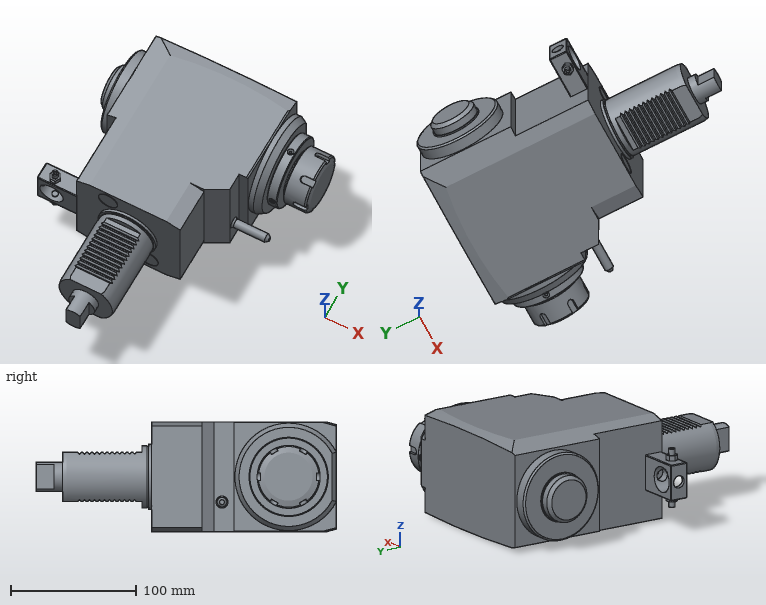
import cadquery as cq
import math


HOUSING_HEIGHT = 88.0
HALF_HEIGHT = HOUSING_HEIGHT / 2
BACK_Y = 147.5
HEAD_LEFT_X = -54.7
HEAD_RIGHT_X = 73.2
HEAD_FRONT_Y = 65.8
LEG_LEFT_X = -46.8
LEG_RIGHT_X = 47.3
SHOULDER_X = 65.3
SHOULDER_Y = 50.0
LEG_TOP_Y = 40.0

FACET_X = 34.8
FACET_RUN = 20.0
FACET_DROP = 5.5
FACET_SLOPE = FACET_DROP / FACET_RUN
HEAD_EDGE_RUN = 1.5
HEAD_EDGE_DROP = 0.6

CROWN_RADIUS = 1176.0
CROWN_SLOPE = 0.27
CROWN_START_Y = 139.5
CROWN_CENTER_X = 18.7
CROWN_LENGTH = 144.0

PLUG_RADIUS = 8.6
PLUG_DEPTH = 0.5
PLUG_X = 18.5
PLUG_Z = 32.0

SPINDLE_Y = 109.5
COVER_RADIUS = 36.5
COVER_END_X = -65.0
COVER_CHAMFER = 1.5
CAP_RADIUS = 19.5
CAP_COLLAR_RADIUS = 20.5
CAP_COLLAR_WIDTH = 1.2
CAP_END_X = -75.0
CAP_CHAMFER = 3.0
FLANGE_RADIUS = 43.0
FLANGE_END_X = 83.8
FLANGE_CHAMFER_WIDTH = 6.0
FLANGE_CHAMFER_DROP = 3.4
DISK_RADIUS = 31.7
DISK_END_X = 93.0
DISK_CHAMFER = 0.7
NECK_RADIUS = 20.6

NUT_RADIUS = 25.2
NUT_START_X = 94.8
NUT_CHAMFER = 1.0
NUT_BEVEL_X = 114.2
NUT_RIM_X = 115.7
NUT_RIM_RADIUS = 24.2
NUT_END_X = 117.0
NUT_FACE_RADIUS = 19.2
NUT_SLOT_COUNT = 6
NUT_SLOT_WIDTH = 6.0
NUT_SLOT_START_X = 104.2
NUT_SLOT_DEPTH = 3.0

SCREW_COUNT = 4
SCREW_X = (FLANGE_END_X + DISK_END_X) / 2
SCREW_RADIUS = 2.6
SCREW_RECESS = 0.7
SCREW_SOCKET_RADIUS = 1.2
SCREW_SOCKET_DEPTH = 2.5

SHANK_RADIUS = 25.0
SHANK_END_Y = -71.3
SHANK_CHAMFER_LENGTH = 3.4
SHANK_CHAMFER_DROP = 0.7
COLLAR_RADIUS = 26.2
COLLAR_WIDTH = 2.5
COLLAR_RELIEF_WIDTH = 1.2
COLLAR_RELIEF_DEPTH = 0.5
FLAT_START_Y = -8.0
FLAT_HEIGHT = 19.7
TOOTH_COUNT = 12
TOOTH_PITCH = 12 / 3
TOOTH_DEPTH = 1.5
FIRST_TOOTH_Y = -13.7

TANG_RADIUS = 11.8
TANG_HALF_WIDTH = 6.5
TANG_START_Y = -78.0
TANG_END_Y = -92.5

BLOCK_LEFT_X = -83.0
BLOCK_FRONT_Y = 0.2
BLOCK_BACK_Y = 16.0
BLOCK_HALF_HEIGHT = 15.0
BLOCK_CHAMFER = 0.7
BORE_X = -69.8
BORE_RADIUS = 10.5
CROSS_HOLE_Y = 8.5
CROSS_HOLE_RADIUS = 5.0
CROSS_HOLE_END_X = -52.8
CHANNEL_RADIUS = 1.0
CHANNEL_END_X = -50.5
NOZZLE_Y = 6.2
NOZZLE_HEX_WIDTH = 8.2
NOZZLE_HEX_TOP = 19.2
NOZZLE_STUD_RADIUS = 2.6
NOZZLE_STUD_START = 9.5
NOZZLE_STUD_TOP = 24.2
NOZZLE_SOCKET_RADIUS = 1.5
NOZZLE_SOCKET_DEPTH = 3.0
NOZZLE_PORT_RADIUS = 2.2
NOZZLE_PORT_DEPTH = 2.0

PIN_Y = 56.2
PIN_Z = -20.2
PIN_RADIUS = 3.8
PIN_COLLAR_RADIUS = 4.8
PIN_COLLAR_WIDTH = 2.0
PIN_END_X = 98.0
PIN_TIP_LENGTH = 2.6
PIN_TIP_RADIUS = 2.0


def with_mirror(solid):
    """Return the solid joined with its mirror image below z = 0."""
    return solid.union(solid.mirror("XY"))


def y_cylinder(radius, start_y, end_y, x=0.0, z=0.0):
    plane = cq.Workplane("XZ", origin=(x, start_y, z))
    return plane.circle(radius).extrude(start_y - end_y)


def xz_prism(points, start_y, end_y):
    """Extrude an outline of (x, z) points between two y positions."""
    plane = cq.Workplane("XZ", origin=(0, start_y, 0))
    return plane.polyline(points).close().extrude(start_y - end_y)


def turned_along_x(points, y, z=0.0):
    """Revolve (x, radius) points, closed on the axis, about a line along X."""
    outline = [(points[0][0], 0), *points, (points[-1][0], 0)]
    profile = cq.Workplane("XY", origin=(0, y, z)).polyline(outline).close()
    return profile.revolve(360, (0, 0, 0), (1, 0, 0))


def edge_wedge(edge_x, run, drop, back_y, front_y):
    """Cutter sloping down from edge_x at the top face over the signed run."""
    points = [
        (edge_x, HALF_HEIGHT),
        (edge_x + run, HALF_HEIGHT),
        (edge_x + run, HALF_HEIGHT - drop),
    ]
    return with_mirror(xz_prism(points, back_y, front_y))


def crown_cutter():
    """Region lying outside the tilted cylinder that crowns the back edge."""
    tilt = math.degrees(math.atan(CROWN_SLOPE))
    plane = cq.Workplane("XZ", origin=(0, CROWN_LENGTH / 2, 0))
    barrel = plane.center(0, -CROWN_RADIUS).circle(CROWN_RADIUS).extrude(CROWN_LENGTH)
    block = cq.Workplane("XY").box(2 * CROWN_LENGTH, CROWN_LENGTH, HOUSING_HEIGHT)
    cutter = block.cut(barrel).rotate((0, 0, 0), (1, 0, 0), -tilt)
    return cutter.translate((CROWN_CENTER_X, CROWN_START_Y, HALF_HEIGHT))


def make_housing():
    outline = [
        (HEAD_LEFT_X, BACK_Y),
        (HEAD_RIGHT_X, BACK_Y),
        (HEAD_RIGHT_X, HEAD_FRONT_Y),
        (SHOULDER_X, HEAD_FRONT_Y),
        (SHOULDER_X, SHOULDER_Y),
        (LEG_RIGHT_X, LEG_TOP_Y),
        (LEG_RIGHT_X, 0),
        (LEG_LEFT_X, 0),
        (LEG_LEFT_X, HEAD_FRONT_Y),
        (HEAD_LEFT_X, HEAD_FRONT_Y),
    ]
    plane = cq.Workplane("XY", origin=(0, 0, -HALF_HEIGHT))
    housing = plane.polyline(outline).close().extrude(HOUSING_HEIGHT)

    housing = housing.cut(edge_wedge(-FACET_X, -FACET_RUN, FACET_DROP, BACK_Y, 0))
    leg_run = LEG_RIGHT_X - FACET_X
    housing = housing.cut(edge_wedge(FACET_X, leg_run, leg_run * FACET_SLOPE, LEG_TOP_Y, 0))
    head_edge_x = HEAD_RIGHT_X - HEAD_EDGE_RUN
    head_edge = edge_wedge(head_edge_x, HEAD_EDGE_RUN, HEAD_EDGE_DROP, BACK_Y, HEAD_FRONT_Y)
    housing = housing.cut(head_edge)
    housing = housing.cut(with_mirror(crown_cutter()))

    for side in (-1, 1):
        plug = y_cylinder(PLUG_RADIUS, PLUG_DEPTH, 0, side * PLUG_X, -side * PLUG_Z)
        housing = housing.cut(plug)
    return housing


def make_rear_cover():
    return turned_along_x(
        [
            (CAP_END_X, CAP_RADIUS - CAP_CHAMFER),
            (CAP_END_X + CAP_CHAMFER, CAP_RADIUS),
            (COVER_END_X - CAP_COLLAR_WIDTH, CAP_RADIUS),
            (COVER_END_X - CAP_COLLAR_WIDTH, CAP_COLLAR_RADIUS),
            (COVER_END_X, CAP_COLLAR_RADIUS),
            (COVER_END_X, COVER_RADIUS - COVER_CHAMFER),
            (COVER_END_X + COVER_CHAMFER, COVER_RADIUS),
            (HEAD_LEFT_X, COVER_RADIUS),
        ],
        SPINDLE_Y,
    )


def make_flange():
    """Round flange with a flat at the housing back, chamfered all around."""
    chamfer_x = FLANGE_END_X - FLANGE_CHAMFER_WIDTH
    disk = turned_along_x(
        [
            (HEAD_RIGHT_X, FLANGE_RADIUS),
            (chamfer_x, FLANGE_RADIUS),
            (FLANGE_END_X, FLANGE_RADIUS - FLANGE_CHAMFER_DROP),
        ],
        SPINDLE_Y,
    )
    front_y = SPINDLE_Y - FLANGE_RADIUS
    outline = [
        (HEAD_RIGHT_X, front_y),
        (HEAD_RIGHT_X, BACK_Y),
        (chamfer_x, BACK_Y),
        (FLANGE_END_X, BACK_Y - FLANGE_CHAMFER_DROP),
        (FLANGE_END_X, front_y),
    ]
    plane = cq.Workplane("XY", origin=(0, 0, -FLANGE_RADIUS))
    return disk.intersect(plane.polyline(outline).close().extrude(2 * FLANGE_RADIUS))


def make_spindle_nose():
    nose = turned_along_x(
        [
            (FLANGE_END_X, DISK_RADIUS - DISK_CHAMFER),
            (FLANGE_END_X + DISK_CHAMFER, DISK_RADIUS),
            (DISK_END_X - DISK_CHAMFER, DISK_RADIUS),
            (DISK_END_X, DISK_RADIUS - DISK_CHAMFER),
            (DISK_END_X, NECK_RADIUS),
            (NUT_START_X, NECK_RADIUS),
            (NUT_START_X, NUT_RADIUS - NUT_CHAMFER),
            (NUT_START_X + NUT_CHAMFER, NUT_RADIUS),
            (NUT_BEVEL_X, NUT_RADIUS),
            (NUT_RIM_X, NUT_RIM_RADIUS),
            (NUT_END_X, NUT_FACE_RADIUS),
        ],
        SPINDLE_Y,
    )
    axis_start = (0, SPINDLE_Y, 0)
    axis_end = (1, SPINDLE_Y, 0)

    slot_floor_y = SPINDLE_Y - NUT_RADIUS + NUT_SLOT_DEPTH
    slot_length = 2 * (NUT_END_X - NUT_SLOT_START_X)
    slot = (
        cq.Workplane("XZ", origin=(NUT_END_X, slot_floor_y, 0))
        .slot2D(slot_length, NUT_SLOT_WIDTH)
        .extrude(2 * NUT_SLOT_DEPTH)
    )
    for index in range(NUT_SLOT_COUNT):
        nose = nose.cut(slot.rotate(axis_start, axis_end, index * 360 / NUT_SLOT_COUNT))

    rim_y = SPINDLE_Y - DISK_RADIUS
    recess = y_cylinder(SCREW_RADIUS, rim_y + SCREW_RECESS, rim_y, SCREW_X)
    socket = y_cylinder(SCREW_SOCKET_RADIUS, rim_y + SCREW_SOCKET_DEPTH, rim_y, SCREW_X)
    screw = recess.union(socket)
    for index in range(SCREW_COUNT):
        nose = nose.cut(screw.rotate(axis_start, axis_end, index * 360 / SCREW_COUNT))
    return nose


def make_shank():
    shank = y_cylinder(SHANK_RADIUS, 0, SHANK_END_Y)
    shank = shank.faces("<Y").edges().chamfer(SHANK_CHAMFER_LENGTH, SHANK_CHAMFER_DROP)

    relief_end_y = -COLLAR_WIDTH - COLLAR_RELIEF_WIDTH
    relief = y_cylinder(COLLAR_RADIUS, 0, relief_end_y)
    shank = shank.cut(relief.cut(y_cylinder(SHANK_RADIUS - COLLAR_RELIEF_DEPTH, 0, relief_end_y)))
    shank = shank.union(y_cylinder(COLLAR_RADIUS, 0, -COLLAR_WIDTH))

    flat_length = FLAT_START_Y - SHANK_END_Y
    flat = cq.Workplane("XY").box(
        2 * SHANK_RADIUS, flat_length, SHANK_RADIUS, centered=(True, False, False)
    )
    cutter = flat.translate((0, SHANK_END_Y, FLAT_HEIGHT))

    for index in range(TOOTH_COUNT):
        groove_y = FIRST_TOOTH_Y - index * TOOTH_PITCH
        groove = (
            cq.Workplane("YZ", origin=(-SHANK_RADIUS, groove_y, FLAT_HEIGHT))
            .polyline([(-TOOTH_DEPTH, 0), (0, -TOOTH_DEPTH), (TOOTH_DEPTH, 0)])
            .close()
            .extrude(2 * SHANK_RADIUS)
        )
        cutter = cutter.union(groove)
    return shank.cut(with_mirror(cutter))


def make_tang():
    collar = y_cylinder(TANG_RADIUS, SHANK_END_Y, TANG_START_Y)
    tang_length = TANG_START_Y - TANG_END_Y
    blade = cq.Workplane("XY").box(
        2 * TANG_HALF_WIDTH, tang_length, 2 * TANG_RADIUS, centered=(True, False, True)
    )
    blade = blade.translate((0, TANG_END_Y, 0))
    return collar.union(blade.intersect(y_cylinder(TANG_RADIUS, TANG_START_Y, TANG_END_Y)))


def make_coolant_block():
    block = cq.Workplane("XY").box(
        LEG_LEFT_X - BLOCK_LEFT_X,
        BLOCK_BACK_Y - BLOCK_FRONT_Y,
        2 * BLOCK_HALF_HEIGHT,
        centered=(False, False, True),
    )
    block = block.translate((BLOCK_LEFT_X, BLOCK_FRONT_Y, 0))
    block = block.faces("<X or <Y or >Y").edges("not >X").chamfer(BLOCK_CHAMFER)
    block = block.cut(y_cylinder(BORE_RADIUS, BLOCK_BACK_Y, BLOCK_FRONT_Y, BORE_X))
    cross_hole = turned_along_x(
        [
            (BLOCK_LEFT_X, CROSS_HOLE_RADIUS),
            (CROSS_HOLE_END_X, CROSS_HOLE_RADIUS),
            (CROSS_HOLE_END_X, CHANNEL_RADIUS),
            (CHANNEL_END_X, CHANNEL_RADIUS),
        ],
        CROSS_HOLE_Y,
    )
    return block.cut(cross_hole)


def make_nozzles():
    """Hexagonal nozzles with a stud, above and below the coolant block."""
    corner_diameter = NOZZLE_HEX_WIDTH / math.cos(math.radians(30))
    plane = cq.Workplane("XY", origin=(BORE_X, NOZZLE_Y, BLOCK_HALF_HEIGHT))
    nozzle = plane.polygon(6, corner_diameter).extrude(NOZZLE_HEX_TOP - BLOCK_HALF_HEIGHT)
    stud_plane = cq.Workplane("XY", origin=(BORE_X, NOZZLE_Y, NOZZLE_STUD_START))
    stud = stud_plane.circle(NOZZLE_STUD_RADIUS).extrude(NOZZLE_STUD_TOP - NOZZLE_STUD_START)
    stud = stud.faces(">Z").workplane().hole(2 * NOZZLE_SOCKET_RADIUS, NOZZLE_SOCKET_DEPTH)
    nozzle = nozzle.union(stud)

    port_y = NOZZLE_Y - NOZZLE_HEX_WIDTH / 2
    port_z = (BLOCK_HALF_HEIGHT + NOZZLE_HEX_TOP) / 2
    port = y_cylinder(NOZZLE_PORT_RADIUS, port_y + NOZZLE_PORT_DEPTH, port_y, BORE_X, port_z)
    return with_mirror(nozzle.cut(port))


def make_pin():
    return turned_along_x(
        [
            (SHOULDER_X, PIN_COLLAR_RADIUS),
            (SHOULDER_X + PIN_COLLAR_WIDTH, PIN_RADIUS),
            (PIN_END_X - PIN_TIP_LENGTH, PIN_RADIUS),
            (PIN_END_X, PIN_TIP_RADIUS),
        ],
        PIN_Y,
        PIN_Z,
    )


result = make_housing()
for component in (
    make_rear_cover(),
    make_flange(),
    make_spindle_nose(),
    make_shank(),
    make_tang(),
    make_coolant_block(),
    make_nozzles(),
    make_pin(),
):
    result = result.union(component)